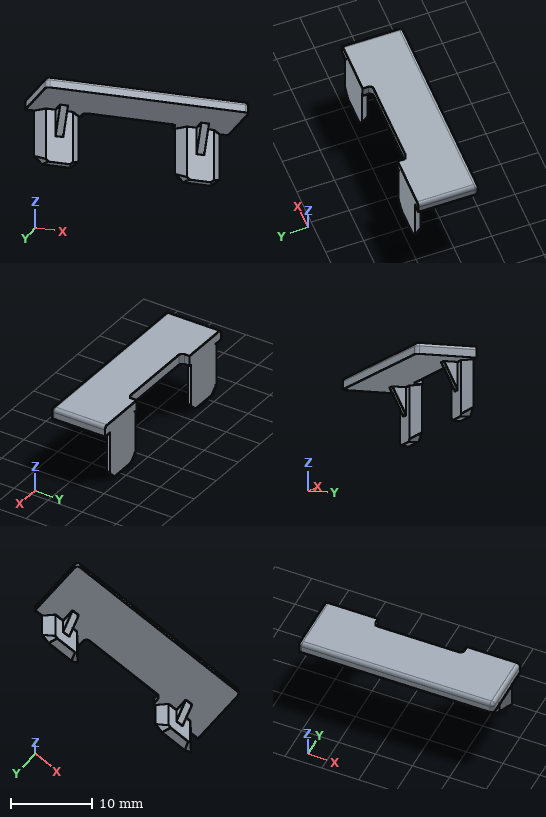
import cadquery as cq

plate_length = 26.5
plate_depth = 8.0
plate_thickness = 1.5
plate_fillet = 0.5

notch_length = 12.0
notch_depth = 1.25
notch_fillet = 0.5

leg_spacing = 18.4
leg_back_width = 5.85
leg_thickness = 1.2
leg_front_width = 3.5
leg_height = 7.0

tip_chamfer = 1.0
tip_turn_angle = 20.0

rib_width = 1.0
rib_reach = 1.8
rib_height = 3.5


def make_plate():
    """Plate rounded on its front corners and on its front and side top edges."""
    plate = cq.Workplane("XY").box(
        plate_length, plate_depth, plate_thickness, centered=(True, False, False)
    ).translate((0, -plate_depth, 0))
    plate = plate.edges("|Z and <Y").fillet(plate_fillet)
    plate = plate.faces(">Z").edges("not >Y").fillet(plate_fillet)

    notch = cq.Workplane("XY").box(
        notch_length, 2 * notch_depth, plate_thickness, centered=(True, True, False)
    )
    notch = notch.edges("|Z and <Y").fillet(notch_fillet)
    return plate.cut(notch)


def make_tip_cutter():
    """Wedge that chamfers the lower left corner of a leg centred on X = 0."""
    wedge_overrun = tip_chamfer
    corner_x = -leg_back_width / 2
    wedge = (
        cq.Workplane("XZ", origin=(corner_x, 0, -leg_height))
        .moveTo(-wedge_overrun, -wedge_overrun)
        .lineTo(-wedge_overrun, tip_chamfer + wedge_overrun)
        .lineTo(tip_chamfer + wedge_overrun, -wedge_overrun)
        .close()
        .extrude(2 * leg_thickness, both=True)
    )
    return wedge.rotate((corner_x, 0, 0), (corner_x, 0, 1), tip_turn_angle)


def make_leg():
    """Leg with its rib, centred on X = 0."""
    leg = (
        cq.Workplane("XY")
        .moveTo(-leg_back_width / 2, 0)
        .lineTo(-leg_front_width / 2, -leg_thickness)
        .lineTo(leg_front_width / 2, -leg_thickness)
        .lineTo(leg_back_width / 2, 0)
        .close()
        .extrude(-leg_height)
    )
    tip_cutter = make_tip_cutter()
    leg = leg.cut(tip_cutter).cut(tip_cutter.mirror("YZ"))

    rib = (
        cq.Workplane("YZ")
        .moveTo(-leg_thickness, 0)
        .lineTo(-leg_thickness - rib_reach, 0)
        .lineTo(-leg_thickness, -rib_height)
        .close()
        .extrude(rib_width / 2, both=True)
    )
    return leg.union(rib)


result = make_plate()
for side in (-1, 1):
    result = result.union(make_leg().translate((side * leg_spacing / 2, 0, 0)))